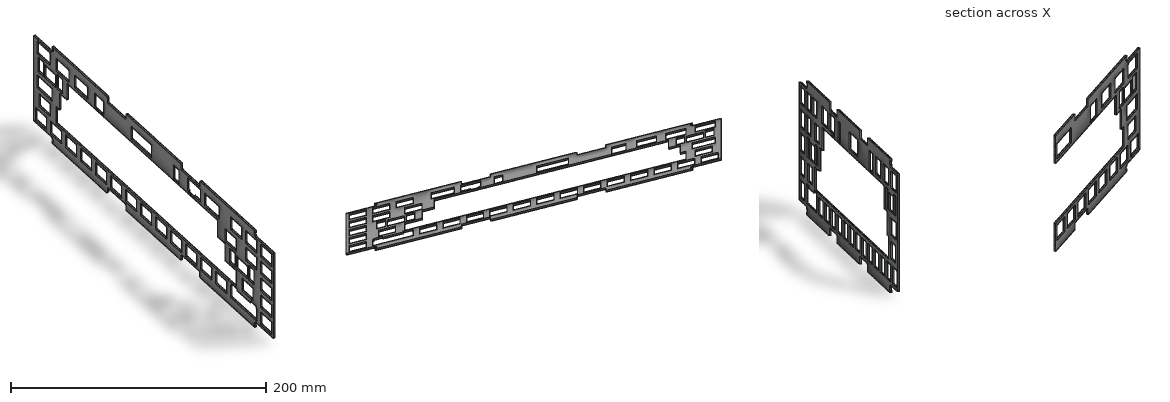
import cadquery as cq

UNIT = 19.05
COLUMNS = 16
ROWS = 5
THICKNESS = 1.5
WIDTH = COLUMNS * UNIT
BODY_HEIGHT = ROWS * UNIT
PLATE_CORNER_RADIUS = 1.0

TOTAL_HEIGHT = 108.25
TAB_HEIGHT = (TOTAL_HEIGHT - BODY_HEIGHT) / 2
TAB_COUNT = 3
TAB_GAP = WIDTH / 13
TAB_LENGTH = 3 * TAB_GAP
TAB_PITCH = TAB_LENGTH + TAB_GAP
NOTCH_DEPTH = 1.6
NOTCH_HEIGHT = 2.7

TAB_TIP_RADIUS = 1.0
TAB_ROOT_RADIUS = 0.8

SWITCH = 13.95
CUTOUT_RADIUS = 0.5
STABILIZER_WIDTH = 7.0
STABILIZER_NEAR = SWITCH / 2
STABILIZER_FAR = 9.0
STABILIZER_2U = 11.938
STABILIZER_SPACE_6_25U = 50.0
STABILIZER_SPACE_7U = 57.15
BACKSPACE_WIDTH = 33.0
SPLIT_KEY_RADIUS = 1.0

NUMBER_ROW, TAB_ROW, CAPS_ROW, SHIFT_ROW, SPACE_ROW = range(ROWS)

LAST_COLUMN = COLUMNS - 0.5
NUMBER_KEYS = [column + 0.5 for column in range(13)] + [LAST_COLUMN]
BACKSPACE = 14.0
TAB_ROW_KEYS = [0.75, 14.25, LAST_COLUMN]
CAPS_STEPPED, CAPS_FULL = 0.625, 0.875
ENTER = 13.875
LEFT_SHIFT = 1.125
SHIFT_ROW_KEYS = [LEFT_SHIFT, 13.125, 14.5, LAST_COLUMN]
ARROW_KEYS = [13.5, 14.5, LAST_COLUMN]
LEFT_MODIFIERS = [(0.625, 0.75), (1.875, 2.0), (3.125, 3.25)]
SPACE_6_25U, SPACE_7U = 6.875, 7.5
INNER_RIGHT_MODIFIER = (10.625, 10.75)
OUTER_RIGHT_MODIFIER = (11.75, 12.0)

OPENING_INSET = 0.525

OPENING_SPANS = {TAB_ROW: (1.5, 13.5), CAPS_ROW: (1.75, 12.75), SHIFT_ROW: (2.25, 12.25)}


def x_at(units):
    """X of a place given in key units from the left end."""
    return units * UNIT - WIDTH / 2


def row_z(row):
    """Z of the centre line of a row."""
    return (row + 0.5) * UNIT - BODY_HEIGHT / 2


def block(x0, x1, z0, z1):
    """Plate-thick rectangular block between two X and two Z limits."""
    return cq.Workplane("XY").box(x1 - x0, THICKNESS, z1 - z0).translate(((x0 + x1) / 2, 0, (z0 + z1) / 2))


def rounded_block(x0, x1, z0, z1, radius=CUTOUT_RADIUS):
    """Block whose four corners in the plate plane are rounded."""
    return block(x0, x1, z0, z1).edges("|Y").fillet(radius)


def split_block(x0, x1, z0, z1, rounded_side):
    """Block with larger corners on one side, given as an X selector, and ordinary ones on the other."""
    plain_side = "<X" if rounded_side == ">X" else ">X"
    cutout = block(x0, x1, z0, z1)
    cutout = cutout.faces(rounded_side).edges("|Y").fillet(SPLIT_KEY_RADIUS)
    return cutout.faces(plain_side).edges("|Y").fillet(CUTOUT_RADIUS)


def switch_limits(row, first, last):
    """X and Z limits of a switch cutout that serves every key position from first to last."""
    z = row_z(row)
    half = SWITCH / 2
    return x_at(first) - half, x_at(last) + half, z - half, z + half


def switch_cutout(row, first, last=None):
    last = first if last is None else last
    return rounded_block(*switch_limits(row, first, last))


def split_key_cutout(first, last, rounded_side):
    """Space-row cutout for two key positions, with larger corners on one side."""
    return split_block(*switch_limits(SPACE_ROW, first, last), rounded_side)


def stabilizer_limits(row, x_first, x_last):
    """Limits of a stabilizer slot; its long reach points up, except in the space row."""
    below, above = STABILIZER_NEAR, STABILIZER_FAR
    if row == SPACE_ROW:
        below, above = above, below
    z = row_z(row)
    half_width = STABILIZER_WIDTH / 2
    return x_first - half_width, x_last + half_width, z - below, z + above


def stabilizer_slot(row, x):
    return rounded_block(*stabilizer_limits(row, x, x))


def stabilizer_pair(row, key):
    return [stabilizer_slot(row, x_at(key) + side * STABILIZER_2U) for side in (-1, 1)]


def plate_blank():
    """Plate body with tabs on both long edges, rounded at their tips and roots."""
    plate = rounded_block(-WIDTH / 2, WIDTH / 2, -BODY_HEIGHT / 2, BODY_HEIGHT / 2, PLATE_CORNER_RADIUS)
    for index in range(TAB_COUNT):
        centre = (index - (TAB_COUNT - 1) / 2) * TAB_PITCH
        tab = rounded_block(centre - TAB_LENGTH / 2, centre + TAB_LENGTH / 2,
                            -TOTAL_HEIGHT / 2, TOTAL_HEIGHT / 2, TAB_TIP_RADIUS)
        plate = plate.union(tab)
    roots = cq.selectors.BoxSelector(
        (-WIDTH / 2 + TAB_GAP / 2, -THICKNESS, -BODY_HEIGHT / 2 - TAB_HEIGHT / 2),
        (WIDTH / 2 - TAB_GAP / 2, THICKNESS, BODY_HEIGHT / 2 + TAB_HEIGHT / 2),
    )
    return plate.edges("|Y").edges(roots).fillet(TAB_ROOT_RADIUS)


def tab_notches():
    """Notches with rounded corners, halfway up the outer ends of the outer tabs."""
    end_x = WIDTH / 2 - TAB_GAP
    notch_z = BODY_HEIGHT / 2 + TAB_HEIGHT / 2
    half_height = NOTCH_HEIGHT / 2
    notches = []
    for x in (-end_x, end_x):
        for z in (-notch_z, notch_z):
            notch = rounded_block(x - NOTCH_DEPTH, x + NOTCH_DEPTH, z - half_height, z + half_height)
            notches.append(notch)
    return notches


def central_opening():
    """Stepped opening across the three middle rows."""
    opening = cq.Workplane("XY")
    for row, (left, right) in OPENING_SPANS.items():
        z = row_z(row)
        bottom = z - UNIT / 2 + (OPENING_INSET if row == TAB_ROW else 0)
        top = z + UNIT / 2 - (OPENING_INSET if row == SHIFT_ROW else 0)
        opening = opening.union(block(x_at(left), x_at(right), bottom, top))
    return opening.edges("|Y").fillet(CUTOUT_RADIUS)


def number_row_cutouts():
    cutouts = [switch_cutout(NUMBER_ROW, key) for key in NUMBER_KEYS]
    x = x_at(BACKSPACE)
    z = row_z(NUMBER_ROW)
    half_width = BACKSPACE_WIDTH / 2
    half_height = SWITCH / 2
    cutouts.append(rounded_block(x - half_width, x + half_width, z - half_height, z + half_height))
    return cutouts + stabilizer_pair(NUMBER_ROW, BACKSPACE)


def middle_row_cutouts():
    cutouts = [switch_cutout(TAB_ROW, key) for key in TAB_ROW_KEYS]
    cutouts.append(switch_cutout(CAPS_ROW, CAPS_STEPPED, CAPS_FULL))
    cutouts += [switch_cutout(CAPS_ROW, key) for key in (ENTER, LAST_COLUMN)]
    cutouts += stabilizer_pair(CAPS_ROW, ENTER)
    cutouts += [switch_cutout(SHIFT_ROW, key) for key in SHIFT_ROW_KEYS]
    return cutouts + stabilizer_pair(SHIFT_ROW, LEFT_SHIFT)


def space_row_cutouts():
    cutouts = [split_key_cutout(first, last, ">X") for first, last in LEFT_MODIFIERS]
    cutouts.append(split_key_cutout(*INNER_RIGHT_MODIFIER, "<X"))
    cutouts.append(switch_cutout(SPACE_ROW, *OUTER_RIGHT_MODIFIER))
    cutouts.append(switch_cutout(SPACE_ROW, SPACE_6_25U, SPACE_7U))
    cutouts += [switch_cutout(SPACE_ROW, key) for key in ARROW_KEYS]
    short_x = x_at(SPACE_6_25U)
    long_x = x_at(SPACE_7U)
    shared_slot = stabilizer_limits(SPACE_ROW, short_x - STABILIZER_SPACE_6_25U, long_x - STABILIZER_SPACE_7U)
    cutouts.append(split_block(*shared_slot, ">X"))
    cutouts.append(stabilizer_slot(SPACE_ROW, short_x + STABILIZER_SPACE_6_25U))
    cutouts.append(stabilizer_slot(SPACE_ROW, long_x + STABILIZER_SPACE_7U))
    return cutouts


result = plate_blank().cut(central_opening())
for cutout in tab_notches() + number_row_cutouts() + middle_row_cutouts() + space_row_cutouts():
    result = result.cut(cutout)